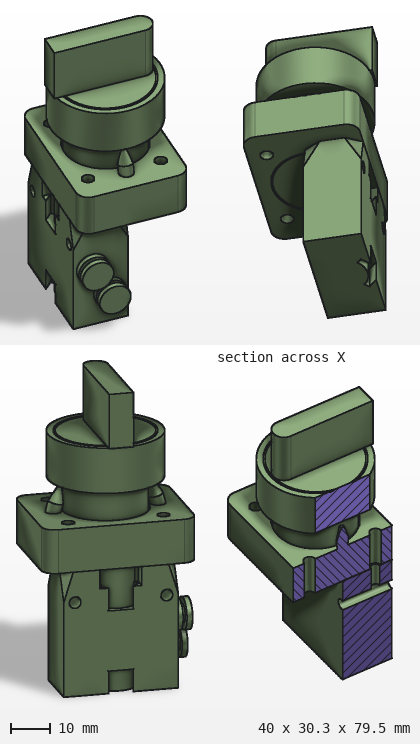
import cadquery as cq

body_width = 30.0

block_height = 33.0
plate_thickness = 11.6
plate_top = block_height + plate_thickness
cap_bottom = 53.0
cap_top = 65.0
grip_top = 79.5

cap_diameter = body_width
neck_diameter = 21.7
groove_diameter = 26.0
groove_width = 0.5
grip_width = 6.35
grip_overhang = 0.3
grip_front = -(cap_diameter / 2 + grip_overhang)
grip_back = 12.7

plate_length = 40.0
plate_width = body_width
plate_corner_radius = 3.5
neck_bore_diameter = 22.5
plate_hole_diameter = 3.25
plate_hole_x = 12.5
plate_hole_y = 9.9

peg_diameter = 4
peg_tip_diameter = 1.1
peg_cone_length = 4.2
peg_lean = 15
peg_shoulder_x = 13.0
peg_shoulder_z = 47.0
peg_root_length = 4.8

block_width = body_width
block_depth = body_width / 2
block_front = -block_depth
corner_cut_x = 2.5
corner_cut_y = 4.3
corner_cut_z = 7.9

cross_hole_diameter = 3.0
cross_hole_x = 12.0
cross_hole_z = 24.9
pilot_diameter = 2.5
pilot_depth = 7.0

core_diameter = 12.0
core_y = block_front / 2
window_width = 6.35
lower_window_top = 6.0
upper_window_bottom = 21.95
wide_window_bottom = 28.0
wide_window_width = 10.9
wide_window_depth = 3.65

port_diameter = 8.5
port_neck_diameter = 5.0
port_flange_thickness = 1.5
port_length = 4.05
port_middle_z = 13.7
port_pitch_z = 8.75
port_pitch_y = 4.7


def upright_cylinder(diameter, bottom, top):
    return cq.Workplane("XY").workplane(offset=bottom).circle(diameter / 2).extrude(top - bottom)


def make_grip():
    half_width = grip_width / 2
    round_start = grip_back - half_width
    return (
        cq.Workplane("XY")
        .workplane(offset=cap_top)
        .moveTo(-half_width, grip_front)
        .lineTo(half_width, grip_front)
        .lineTo(half_width, round_start)
        .threePointArc((0, grip_back), (-half_width, round_start))
        .close()
        .extrude(grip_top - cap_top)
    )


def make_cap_groove():
    ring = cq.Solid.makeTorus(groove_diameter / 2, groove_width / 2, cq.Vector(0, 0, cap_top))
    return cq.Workplane(ring)


def make_knob():
    neck = upright_cylinder(neck_diameter, block_height, cap_bottom)
    cap = upright_cylinder(cap_diameter, cap_bottom, cap_top).cut(make_cap_groove())
    return neck.union(cap).union(make_grip())


def make_peg(side):
    shoulder_radius = peg_diameter / 2
    peg = (
        cq.Workplane("XZ")
        .moveTo(0, -peg_root_length)
        .lineTo(shoulder_radius, -peg_root_length)
        .lineTo(shoulder_radius, 0)
        .lineTo(peg_tip_diameter / 2, peg_cone_length)
        .lineTo(0, peg_cone_length)
        .close()
        .revolve(360, (0, 0), (0, 1))
    )
    leaning = peg.rotate((0, 0, 0), (0, 1, 0), -side * peg_lean)
    return leaning.translate((side * peg_shoulder_x, 0, peg_shoulder_z))


def make_plate():
    plate = (
        cq.Workplane("XY")
        .workplane(offset=block_height)
        .rect(plate_length, plate_width)
        .extrude(plate_thickness)
        .edges("|Z")
        .fillet(plate_corner_radius)
    )
    for side in (-1, 1):
        plate = plate.union(make_peg(side))
    plate = plate.cut(upright_cylinder(neck_bore_diameter, block_height, plate_top))
    screw_holes = (
        cq.Workplane("XY")
        .workplane(offset=block_height)
        .rect(2 * plate_hole_x, 2 * plate_hole_y, forConstruction=True)
        .vertices()
        .circle(plate_hole_diameter / 2)
        .extrude(plate_thickness)
    )
    return plate.cut(screw_holes)


def make_front_box(width, depth, bottom, top):
    return (
        cq.Workplane("XY")
        .workplane(offset=bottom)
        .center(0, block_front + depth / 2)
        .rect(width, depth)
        .extrude(top - bottom)
    )


def make_core():
    return upright_cylinder(core_diameter, 0, block_height).translate((0, core_y, 0))


def make_narrow_window(bottom, top):
    mouth_x = window_width / 2
    side_corner_x = (mouth_x + core_y - block_front) / 2
    side_corner_y = core_y - side_corner_x
    pocket = (
        cq.Workplane("XY")
        .workplane(offset=bottom)
        .polyline([
            (0, core_y),
            (side_corner_x, side_corner_y),
            (mouth_x, block_front),
            (-mouth_x, block_front),
            (-side_corner_x, side_corner_y),
        ])
        .close()
        .extrude(top - bottom)
    )
    return pocket.cut(make_core())


def make_wide_window():
    window = make_front_box(wide_window_width, wide_window_depth, wide_window_bottom, block_height)
    return window.cut(make_core())


def make_corner_cut(x_side, y_corner, y_inward):
    x_corner = x_side * block_width / 2
    points = [
        cq.Vector(x_corner, y_corner, block_height),
        cq.Vector(x_corner - x_side * corner_cut_x, y_corner, block_height),
        cq.Vector(x_corner, y_corner + y_inward * corner_cut_y, block_height),
        cq.Vector(x_corner, y_corner, block_height - corner_cut_z),
    ]
    faces = []
    for left_out in points:
        triangle = [point for point in points if point is not left_out]
        faces.append(cq.Face.makeFromWires(cq.Wire.makePolygon(triangle, close=True)))
    return cq.Workplane(cq.Solid.makeSolid(cq.Shell.makeShell(faces)))


def make_cross_hole(x):
    return (
        cq.Workplane("XZ")
        .center(x, cross_hole_z)
        .circle(cross_hole_diameter / 2)
        .extrude(block_depth)
    )


def make_pilot(x):
    pilot = upright_cylinder(pilot_diameter, block_height - pilot_depth, block_height)
    return pilot.translate((x, -plate_hole_y, 0))


def make_port(y, z):
    def disc(diameter, length, start):
        wall = cq.Workplane("YZ").workplane(offset=block_width / 2 + start)
        return wall.center(y, z).circle(diameter / 2).extrude(length)

    neck = disc(port_neck_diameter, port_length, 0)
    inner_flange = disc(port_diameter, port_flange_thickness, 0)
    outer_flange = disc(port_diameter, port_flange_thickness, port_length - port_flange_thickness)
    return neck.union(inner_flange).union(outer_flange)


def make_block():
    block = make_front_box(block_width, block_depth, 0, block_height)
    for side in (-1, 1):
        block = block.cut(make_corner_cut(side, block_front, 1))
        block = block.cut(make_corner_cut(side, 0, -1))
        block = block.cut(make_cross_hole(side * cross_hole_x))
        block = block.cut(make_pilot(side * plate_hole_x))
    block = block.cut(make_narrow_window(0, lower_window_top))
    block = block.cut(make_narrow_window(upper_window_bottom, wide_window_bottom))
    block = block.cut(make_wide_window())
    for step in (-1, 1):
        port_y = core_y - step * port_pitch_y / 2
        port_z = port_middle_z + step * port_pitch_z / 2
        block = block.union(make_port(port_y, port_z))
    return block


knob = make_knob()
plate = make_plate()
block = make_block()

result = cq.Compound.makeCompound([knob.val(), plate.val(), block.val()])